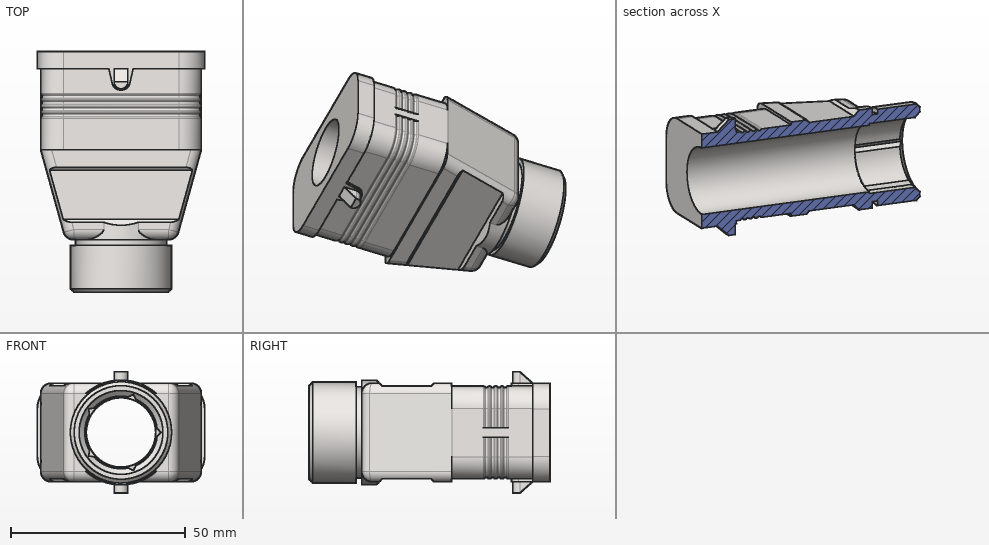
import cadquery as cq
import math


TOTAL_LENGTH = 69.0

RIM_WIDTH = 48.0
RIM_THICKNESS = 28.3
RIM_LENGTH = 5.0
BODY_WIDTH = 46.0
BODY_THICKNESS = 26.6
BODY_CORNER_RADIUS = 6.4
RIM_CORNER_RADIUS = BODY_CORNER_RADIUS + (RIM_WIDTH - BODY_WIDTH) / 2

GROOVE_COUNT = 4
GROOVE_START = 12.0
GROOVE_PITCH = 1.8
GROOVE_WIDTH = 1.7
GROOVE_FLANK_ANGLE = math.radians(45)
GROOVE_ROUNDING = 0.5
GROOVE_CLEARANCE = 1.0
GROOVE_SIDE_GAP = 2.8

HOOD_START = 28.2
HOOD_END = 53.9
HOOD_THICKNESS = RIM_THICKNESS
HOOD_TAPER = 15.5
HOOD_EDGE_RADIUS = 3.0

RECESS_FLOOR_START = 34.0
RECESS_FLOOR_END = 48.05

PIN_TIP_HEIGHT = 17.4
PIN_WIDTH = 4.0
PIN_END = 10.7
PIN_RAMP_END = 8.65
PAD_ROOT_HALF_WIDTH = 3.48
PAD_NOSE_RADIUS = 2.6
PAD_END = 11.1

BOSS_RADIUS = 15.0
BOSS_WIDTH = 26.0
NECK_RADIUS = 13.1
COLLAR_START = 55.5
COLLAR_RADIUS = 14.5
COLLAR_CHAMFER = 1.1

THROUGH_RADIUS = 9.9
BORE_RADIUS = 10.4
BORE_DEPTH = 16.0
MOUTH_RADIUS = 12.0
MOUTH_DEPTH = 1.6
NOTCH_COUNT = 5
NOTCH_TIP_RADIUS = 11.45
NOTCH_BASE = 9.5


def section_plane(distance):
    """Plane across the long axis; extrusions from it run toward the mouth."""
    return cq.Workplane("XZ", origin=(0, -distance, 0))


def cylinder(radius, start, end):
    return section_plane(start).circle(radius).extrude(end - start)


def rounded_block(width, thickness, corner_radius, start, end):
    block = section_plane(start).rect(width, thickness).extrude(end - start)
    return block.edges("|Y").fillet(corner_radius)


def mirrored_pair(shape):
    """The shape together with its copy on the opposite large face."""
    return shape.union(shape.mirror("XY"))


def groove_outline(plane, start):
    """V-groove with 45 degree flanks, rounded lips and a rounded root.

    Flank height equals flank run, and the three roundings share one radius.
    """
    run = GROOVE_ROUNDING * math.sin(GROOVE_FLANK_ANGLE)
    drop = GROOVE_ROUNDING - run
    flank = GROOVE_WIDTH / 2 - 2 * run
    mid_run = GROOVE_ROUNDING * math.sin(GROOVE_FLANK_ANGLE / 2)
    mid_drop = GROOVE_ROUNDING * (1 - math.cos(GROOVE_FLANK_ANGLE / 2))
    depth = 2 * drop + flank
    surface = BODY_WIDTH / 2

    def point(along, below):
        return (surface - below, -(start + along))

    return (
        plane.moveTo(*point(0, -GROOVE_CLEARANCE))
        .lineTo(*point(0, 0))
        .threePointArc(point(mid_run, mid_drop), point(run, drop))
        .lineTo(*point(run + flank, drop + flank))
        .threePointArc(
            point(GROOVE_WIDTH / 2, depth),
            point(GROOVE_WIDTH - run - flank, drop + flank),
        )
        .lineTo(*point(GROOVE_WIDTH - run, drop))
        .threePointArc(point(GROOVE_WIDTH - mid_run, mid_drop), point(GROOVE_WIDTH, 0))
        .lineTo(*point(GROOVE_WIDTH, -GROOVE_CLEARANCE))
        .close()
    )


def grip_grooves():
    """Grooves running round the body, interrupted in the middle of the narrow sides."""
    plain_end = rounded_block(BODY_WIDTH, BODY_THICKNESS, BODY_CORNER_RADIUS, 0, GROOVE_START)
    girth = cq.Workplane(plain_end.faces("<Y").wires().val())
    side_gap = cq.Workplane("XY").box(2 * RIM_WIDTH, 2 * TOTAL_LENGTH, GROOVE_SIDE_GAP)
    first = groove_outline(cq.Workplane("XY"), GROOVE_START).sweep(girth).cut(side_gap)
    grooves = first
    for index in range(1, GROOVE_COUNT):
        grooves = grooves.union(first.translate((0, -index * GROOVE_PITCH, 0)))
    return grooves


def hood():
    """Tapered block with all edges rounded except those at its wide end."""
    length = HOOD_END - HOOD_START
    wide = BODY_WIDTH / 2
    narrow = wide - length * math.tan(math.radians(HOOD_TAPER))
    block = (
        cq.Workplane("XY", origin=(0, 0, -HOOD_THICKNESS / 2))
        .moveTo(-wide, -HOOD_START)
        .lineTo(wide, -HOOD_START)
        .lineTo(narrow, -HOOD_END)
        .lineTo(-narrow, -HOOD_END)
        .close()
        .extrude(HOOD_THICKNESS)
    )
    return block.edges("not >Y").fillet(HOOD_EDGE_RADIUS)


def boss():
    """Round swelling above and below the neck, flat-sided within the hood width."""
    round_part = cylinder(BOSS_RADIUS, RECESS_FLOOR_END, HOOD_END)
    width_limit = cq.Workplane("XY").box(BOSS_WIDTH, 2 * TOTAL_LENGTH, 2 * BOSS_RADIUS)
    return round_part.intersect(width_limit)


def recess():
    """Shallow channel across the top face, open above and at both sides."""
    floor = BODY_THICKNESS / 2
    rise = PIN_TIP_HEIGHT - floor
    profile = (
        cq.Workplane("YZ")
        .moveTo(-RECESS_FLOOR_START, floor)
        .lineTo(-RECESS_FLOOR_END, floor)
        .lineTo(-RECESS_FLOOR_END - rise, floor + rise)
        .lineTo(-RECESS_FLOOR_START + rise, floor + rise)
        .close()
    )
    return profile.extrude(RIM_WIDTH / 2, both=True)


def pin_pad():
    """Pad on the top face: straight converging sides tangent to a round nose."""
    nose_center = PAD_END - PAD_NOSE_RADIUS
    reach = nose_center - RIM_LENGTH
    to_center = math.atan2(PAD_ROOT_HALF_WIDTH, reach)
    side_angle = to_center - math.asin(PAD_NOSE_RADIUS / math.hypot(PAD_ROOT_HALF_WIDTH, reach))
    tangent_x = PAD_NOSE_RADIUS * math.cos(side_angle)
    tangent_y = -nose_center - PAD_NOSE_RADIUS * math.sin(side_angle)
    return (
        cq.Workplane("XY")
        .moveTo(-PAD_ROOT_HALF_WIDTH, -RIM_LENGTH)
        .lineTo(-tangent_x, tangent_y)
        .threePointArc((0, -PAD_END), (tangent_x, tangent_y))
        .lineTo(PAD_ROOT_HALF_WIDTH, -RIM_LENGTH)
        .close()
        .extrude(RIM_THICKNESS / 2)
    )


def locking_pin():
    """Pin on the top face: round toward the cable, ramped toward the mating face."""
    base = RIM_THICKNESS / 2
    radius = PIN_WIDTH / 2
    nose_center = PIN_END - radius
    outline = (
        cq.Workplane("XY")
        .moveTo(-radius, -RIM_LENGTH)
        .lineTo(-radius, -nose_center)
        .threePointArc((0, -PIN_END), (radius, -nose_center))
        .lineTo(radius, -RIM_LENGTH)
        .close()
        .extrude(PIN_TIP_HEIGHT)
    )
    ramp_profile = (
        cq.Workplane("YZ")
        .moveTo(-RIM_LENGTH, 0)
        .lineTo(-RIM_LENGTH, base)
        .lineTo(-PIN_RAMP_END, PIN_TIP_HEIGHT)
        .lineTo(-PIN_END, PIN_TIP_HEIGHT)
        .lineTo(-PIN_END, 0)
        .close()
        .extrude(PIN_WIDTH, both=True)
    )
    return outline.intersect(ramp_profile)


def collar():
    ring = cylinder(COLLAR_RADIUS, COLLAR_START, TOTAL_LENGTH)
    return ring.faces("<Y").chamfer(COLLAR_CHAMFER)


def cable_bore():
    """Through hole, wider entry bore with V-notches along its wall, and a conical mouth."""
    bore_end = TOTAL_LENGTH - BORE_DEPTH
    profile = (
        cq.Workplane("XY")
        .moveTo(0, 0)
        .lineTo(THROUGH_RADIUS, 0)
        .lineTo(THROUGH_RADIUS, -bore_end)
        .lineTo(BORE_RADIUS, -bore_end)
        .lineTo(BORE_RADIUS, -(TOTAL_LENGTH - MOUTH_DEPTH))
        .lineTo(MOUTH_RADIUS, -TOTAL_LENGTH)
        .lineTo(0, -TOTAL_LENGTH)
        .close()
    )
    bore = profile.revolve(360, (0, 0, 0), (0, 1, 0))
    notch_half_width = NOTCH_TIP_RADIUS - NOTCH_BASE
    notch = (
        section_plane(bore_end)
        .moveTo(NOTCH_TIP_RADIUS, 0)
        .lineTo(NOTCH_BASE, notch_half_width)
        .lineTo(NOTCH_BASE, -notch_half_width)
        .close()
        .extrude(BORE_DEPTH)
    )
    for index in range(NOTCH_COUNT):
        bore = bore.union(notch.rotate((0, 0, 0), (0, 1, 0), index * 360 / NOTCH_COUNT))
    return bore


rim = rounded_block(RIM_WIDTH, RIM_THICKNESS, RIM_CORNER_RADIUS, 0, RIM_LENGTH)
body = rounded_block(BODY_WIDTH, BODY_THICKNESS, BODY_CORNER_RADIUS, 0, HOOD_START)
neck = cylinder(NECK_RADIUS, HOOD_START, COLLAR_START)

shell = hood().union(boss()).cut(mirrored_pair(recess()))
shell = shell.union(body.cut(grip_grooves()))
shell = shell.union(rim).union(mirrored_pair(pin_pad())).union(mirrored_pair(locking_pin()))
result = shell.union(neck).union(collar()).cut(cable_bore())